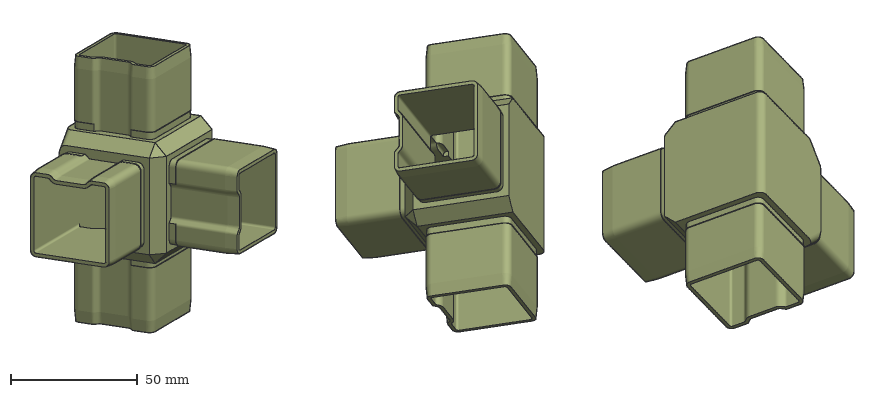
import cadquery as cq
import math

TUBE_SIZE = 40.0
HUB_CHAMFER = 5.0
HUB_HEIGHT = TUBE_SIZE + 2 * HUB_CHAMFER
HUB_BACK = TUBE_SIZE / 2
HUB_FRONT = TUBE_SIZE / 2 + HUB_CHAMFER
HUB_FILLET = 3.0

TUBE_WALL = 2.0
SPIGOT_CLEARANCE = 0.1
SPIGOT_SIZE = TUBE_SIZE - 2 * (TUBE_WALL + SPIGOT_CLEARANCE)
SPIGOT_LENGTH = 30.0
SPIGOT_CORNER = 3.0
SPIGOT_WALL = 2.0
BORE_CORNER = SPIGOT_CORNER - SPIGOT_WALL
NECK_LENGTH = 3.0
NECK_RELIEF = 0.3
TIP_LENGTH = 5.0
TIP_TAPER = 0.5

GROOVE_DEPTH = 2.0
GROOVE_FLOOR_HALF = 6.5
GROOVE_MOUTH_HALF = GROOVE_FLOOR_HALF + GROOVE_DEPTH
FLANK_SHIFT = math.tan(math.radians(45) / 2)
GROOVE_FLOOR_RADIUS = 1.5
GROOVE_MOUTH_RADIUS = 1.5
FRONT_MOUTH_RADIUS = 3.5
BORE_MOUTH_RADIUS = FRONT_MOUTH_RADIUS - SPIGOT_WALL
BORE_FLOOR_RADIUS = GROOVE_FLOOR_RADIUS + SPIGOT_WALL


def rounded_path(plane, corners):
    """Closed wire through (x, y, radius) corners, each rounded by a tangent arc."""
    points = [cq.Vector(x, y) for x, y, _ in corners]
    wire = cq.Workplane(plane)
    for index, (_, _, radius) in enumerate(corners):
        corner = points[index]
        to_previous = (points[index - 1] - corner).normalized()
        to_next = (points[(index + 1) % len(points)] - corner).normalized()
        half_angle = to_previous.getAngle(to_next) / 2
        reach = radius / math.tan(half_angle)
        bisector = (to_previous + to_next).normalized()
        start = corner + to_previous * reach
        middle = corner + bisector * (radius / math.sin(half_angle) - radius)
        end = corner + to_next * reach
        if index == 0:
            wire = wire.moveTo(start.x, start.y)
        else:
            wire = wire.lineTo(start.x, start.y)
        wire = wire.threePointArc((middle.x, middle.y), (end.x, end.y))
    return wire.close()


def grooved_square(plane, inset, corner_radius, mouth_radius, floor_radius):
    """Spigot outline offset inwards by `inset`, with the groove in its local -Y side."""
    half = SPIGOT_SIZE / 2 - inset
    mouth = GROOVE_MOUTH_HALF + inset * FLANK_SHIFT
    floor = GROOVE_FLOOR_HALF + inset * FLANK_SHIFT
    floor_y = GROOVE_DEPTH - half
    return rounded_path(plane, [
        (half, half, corner_radius),
        (-half, half, corner_radius),
        (-half, -half, corner_radius),
        (-mouth, -half, mouth_radius),
        (-floor, floor_y, floor_radius),
        (floor, floor_y, floor_radius),
        (mouth, -half, mouth_radius),
        (half, -half, corner_radius),
    ])


def spigot_plane(direction, groove_side, distance):
    """Plane across a spigot, with its local -Y pointing to the grooved side."""
    normal = cq.Vector(*direction)
    x_direction = normal.cross(cq.Vector(*groove_side))
    return cq.Plane(origin=(normal * distance).toTuple(), xDir=x_direction.toTuple(), normal=direction)


def make_spigot(direction, groove_side, hub_face, mouth_radius):
    """Solid spigot reaching from the hub axis to its tapered tip."""
    def outline(distance, inset):
        return grooved_square(
            spigot_plane(direction, groove_side, distance),
            inset,
            SPIGOT_CORNER - inset,
            mouth_radius - inset,
            GROOVE_FLOOR_RADIUS + inset,
        )

    tip_end = hub_face + SPIGOT_LENGTH
    tip_start = tip_end - TIP_LENGTH
    neck_end = hub_face + NECK_LENGTH
    barrel = outline(neck_end, 0).extrude(tip_start - neck_end)

    tip_base = outline(tip_start, 0).wires().val()
    tip_top = outline(tip_end, TIP_TAPER).wires().val()
    tip = cq.Workplane(cq.Solid.makeLoft([tip_base, tip_top], True))

    neck_size = SPIGOT_SIZE - 2 * NECK_RELIEF
    neck_envelope = (
        cq.Workplane(spigot_plane(direction, groove_side, 0))
        .rect(neck_size, neck_size)
        .extrude(neck_end)
        .edges(cq.selectors.ParallelDirSelector(cq.Vector(*direction)))
        .fillet(SPIGOT_CORNER - NECK_RELIEF)
    )
    neck = outline(0, 0).extrude(neck_end).intersect(neck_envelope)
    return neck.union(barrel).union(tip)


def make_bore(direction, groove_side, start, end):
    """Passage following the spigot outline at the wall thickness, between two distances on its axis."""
    plane = spigot_plane(direction, groove_side, start)
    outline = grooved_square(plane, SPIGOT_WALL, BORE_CORNER, BORE_MOUTH_RADIUS, BORE_FLOOR_RADIUS)
    return outline.extrude(end - start)


def make_hub():
    """Block with its spigot-side edges chamfered and its plain-side edges rounded."""
    depth = HUB_BACK + HUB_FRONT
    hub = (
        cq.Workplane("XY")
        .box(depth, depth, HUB_HEIGHT)
        .translate(((HUB_FRONT - HUB_BACK) / 2, (HUB_BACK - HUB_FRONT) / 2, 0))
    )
    rim_edges = "(>X and >Z) or (>X and <Z) or (<Y and >Z) or (<Y and <Z)"
    hub = hub.edges(f"{rim_edges} or (>X and <Y)").chamfer(HUB_CHAMFER)

    chamfer_middle = HUB_CHAMFER / 2
    rounded_edges = hub.edges("<X and >Y")
    for side in (1, -1):
        slope_middle = (-HUB_BACK, chamfer_middle - HUB_FRONT, side * (HUB_HEIGHT / 2 - chamfer_middle))
        rounded_edges = rounded_edges.add(hub.edges(cq.selectors.NearestToPointSelector(slope_middle)))
    return hub.newObject(rounded_edges.vals()).fillet(HUB_FILLET)


UP = (0, 0, 1)
DOWN = (0, 0, -1)
RIGHT = (1, 0, 0)
FRONT = (0, -1, 0)
HALF_HEIGHT = HUB_HEIGHT / 2
VERTICAL_END = HALF_HEIGHT + SPIGOT_LENGTH
SIDE_END = HUB_FRONT + SPIGOT_LENGTH

result = make_hub()
result = result.union(make_spigot(UP, FRONT, HALF_HEIGHT, GROOVE_MOUTH_RADIUS))
result = result.union(make_spigot(DOWN, FRONT, HALF_HEIGHT, GROOVE_MOUTH_RADIUS))
result = result.union(make_spigot(RIGHT, FRONT, HUB_FRONT, GROOVE_MOUTH_RADIUS))
result = result.union(make_spigot(FRONT, UP, HUB_FRONT, FRONT_MOUTH_RADIUS))

result = result.cut(make_bore(UP, FRONT, -VERTICAL_END, VERTICAL_END))
result = result.cut(make_bore(RIGHT, FRONT, 0, SIDE_END))
result = result.cut(make_bore(FRONT, UP, 0, SIDE_END))